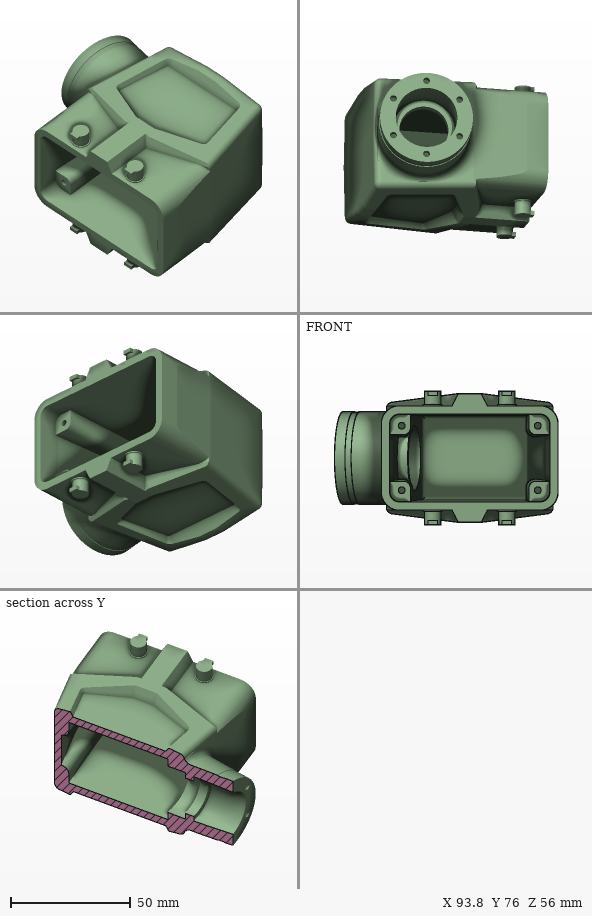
import cadquery as cq
import math


overall_length = 93.8
base_length = 74.1
base_depth = 43.7
base_corner_radius = 7.5
body_height = 72.7
straight_height = 9.2
shoulder_height = 31.8
shoulder_half_length = 34.8
side_tilt = 10.8
ridge_half_depth = 27.0
ridge_half_width = 4.9
roof_slope = 0.13
end_draft = 1.3
body_edge_radius = 2.8

panel_foot_half_width = 7.4
panel_foot_height = 20.8
panel_foot_slope = 0.36
panel_draft = 27.0
recess_floor_level = 22.1
recess_top = 63.4
recess_side = 38.5
recess_bottom = 31.15
recess_top_half_width = 19.7
recess_bottom_half_width = 4.7
recess_draft = 31.0
recess_corner_radius = 0.75

wall = 3.5
cavity_draft = 0.7
cavity_floor_radius = 1.2
post_start = 9.1
post_inner_x = 24.9
post_inner_z = 9.8
post_draft = 1.3
post_edge_radius = 2.8
screw_x = 28.5
screw_z = 13.5
screw_radius = 1.4
screw_depth = 9.4

entry_radius = 19.5
entry_face_x = base_length / 2 - overall_length + entry_radius * math.sin(math.radians(side_tilt))
entry_face_y = 56.8
entry_length = 30.5
flange_length = 4.5
groove_width = 2.6
groove_depth = 0.3
entry_blend_radius = 2.8
blend_half_depth = 21.1
counterbore_radius = 12.95
counterbore_depth = 18.3
throat_radius = 10.3
throat_end = 22.5
inner_bore_radius = 13.6
pad_radius = 15.5
pad_bottom_offset = 12.7
face_hole_count = 6
face_hole_circle = 16.0
face_hole_radius = 1.4
face_hole_depth = 2.8

pin_x = 15.6
pin_y = 5.5
pin_radius = 3.5
pin_span = 56.0
pin_tip = pin_span / 2
pin_collar_radius = 3.9
pin_collar_height = 0.5
tab_width = 4.0
tab_thickness = 1.8
tab_reach = 4.5

half_length = base_length / 2
half_depth = base_depth / 2
tilt_run = math.tan(math.radians(side_tilt))
tilt_cos = math.cos(math.radians(side_tilt))
clear = 93.8
overlap = 0.9


def mirrored(right_half):
    """Closed outline from its right half, listed from bottom to top."""
    return right_half + [(-x, y) for x, y in reversed(right_half)]


def prism_z(points):
    """XY outline extruded through the full depth, both ways from Z = 0."""
    return cq.Workplane("XY").polyline(points).close().extrude(clear, both=True)


def side_x(height):
    """Half length of the tilted upper body at a height above the mounting face."""
    return shoulder_half_length - (height - shoulder_height) * tilt_run


def both_faces(solid):
    """The solid together with its mirror image on the opposite broad face."""
    return solid.union(solid.mirror("XY"))


def along_y(start):
    """Plane at Y = start whose normal is +Y, local x along X."""
    return cq.Plane(origin=(0, start, 0), xDir=(1, 0, 0), normal=(0, 1, 0))


entry_inward = (tilt_cos, -math.sin(math.radians(side_tilt)), 0)


def entry_plane(depth=0.0):
    origin = (entry_face_x + depth * entry_inward[0], entry_face_y + depth * entry_inward[1], 0)
    return cq.Plane(origin=origin, xDir=(0, 0, 1), normal=entry_inward)


def entry_cylinder(radius, start, end):
    return cq.Workplane(entry_plane(start)).circle(radius).extrude(end - start)


def skirt_limits():
    """Straight band at the mounting face, then gently tapered ends carried to full height."""
    taper_run = (half_length - shoulder_half_length) / (shoulder_height - straight_height)
    outline = mirrored([
        (half_length, 0),
        (half_length, straight_height),
        (half_length - (body_height - straight_height) * taper_run, body_height),
    ])
    return prism_z(outline)


def lower_body():
    skirt = (
        cq.Workplane(along_y(0))
        .rect(base_length, base_depth)
        .extrude(shoulder_height)
        .edges("|Y")
        .fillet(base_corner_radius)
    )
    return skirt.intersect(skirt_limits())


def drafted_block(outline):
    """Block upright from Z = 0 to the skirt surface, then narrowing at the panel draft."""
    upright = cq.Workplane("XY").polyline(outline).close().extrude(half_depth)
    narrowing = (
        cq.Workplane("XY", origin=(0, 0, half_depth))
        .polyline(outline)
        .close()
        .extrude(ridge_half_depth - half_depth + overlap, taper=panel_draft)
    )
    return upright.union(narrowing)


def panel_limits():
    """Region kept by the upper body: V-shaped foot and ridge with drafted walls."""
    foot_rise = (clear - panel_foot_half_width) * panel_foot_slope
    panel = mirrored([
        (panel_foot_half_width, panel_foot_height),
        (clear, panel_foot_height + foot_rise),
        (clear, 2 * clear),
    ])
    ridge = mirrored([(panel_foot_half_width, -clear), (panel_foot_half_width, shoulder_height)])
    return both_faces(drafted_block(panel).union(drafted_block(ridge)))


def upper_body():
    roof_edge = ridge_half_depth - (clear - ridge_half_width) * roof_slope
    roof = (
        cq.Workplane(along_y(0))
        .polyline(mirrored([
            (ridge_half_width, -ridge_half_depth),
            (clear, -roof_edge),
            (clear, roof_edge),
            (ridge_half_width, ridge_half_depth),
        ]))
        .close()
        .extrude(body_height)
    )
    outline = mirrored([(side_x(0), 0), (side_x(body_height), body_height)])
    end_drop = clear * math.tan(math.radians(end_draft))
    drafted_end = (
        cq.Workplane("YZ")
        .polyline([
            (0, -clear),
            (body_height - end_drop, -clear),
            (body_height, 0),
            (body_height - end_drop, clear),
            (0, clear),
        ])
        .close()
        .extrude(clear, both=True)
    )
    body = roof.intersect(prism_z(outline)).intersect(drafted_end)
    upper_half = cq.selectors.BoxSelector((-clear, overlap, overlap), (clear, clear, clear))
    lower_half = cq.selectors.BoxSelector((-clear, overlap, -clear), (clear, clear, -overlap))
    body = body.edges(upper_half + lower_half).edges("not |Y").fillet(body_edge_radius)
    return body.intersect(panel_limits()).intersect(skirt_limits())


def panel_recess():
    side_half_width = recess_top_half_width + (recess_top - recess_side) * tilt_run
    outline = mirrored([
        (recess_bottom_half_width, recess_bottom),
        (side_half_width, recess_side),
        (recess_top_half_width, recess_top),
    ])
    floor = cq.Sketch().polygon(outline + outline[:1]).vertices("not <Y").fillet(recess_corner_radius)
    recess = (
        cq.Workplane("XY", origin=(0, 0, recess_floor_level))
        .placeSketch(floor)
        .extrude(ridge_half_depth - recess_floor_level + overlap, taper=-recess_draft)
    )
    return both_faces(recess)


def entry_outside():
    groove_end = flange_length + groove_width
    groove = entry_cylinder(entry_radius + overlap, flange_length, groove_end).cut(
        entry_cylinder(entry_radius - groove_depth, flange_length, groove_end)
    )
    return entry_cylinder(entry_radius, 0, entry_length).cut(groove)


def entry_blend():
    """Concave flare where the entry meets the side wall, trimmed to that wall's flat area."""
    wall_drift = (entry_face_y - shoulder_height) * tilt_run
    wall_depth = tilt_cos * (wall_drift - shoulder_half_length - entry_face_x)
    blend_start = wall_depth - entry_blend_radius
    foot_radius = entry_radius + entry_blend_radius
    arc_inset = entry_blend_radius * math.sqrt(0.5)
    flare = (
        cq.Workplane(entry_plane())
        .transformed(rotate=(90, 0, 0))
        .moveTo(0, blend_start)
        .lineTo(entry_radius, blend_start)
        .threePointArc((foot_radius - arc_inset, blend_start + arc_inset), (foot_radius, wall_depth))
        .lineTo(foot_radius, wall_depth + wall / 2)
        .lineTo(0, wall_depth + wall / 2)
        .close()
        .revolve(360, (0, 0, 0), (0, 1, 0))
    )
    trim_height = body_height - body_edge_radius / 2 - shoulder_height
    trim = cq.Workplane("XY", origin=(0, shoulder_height + trim_height / 2, 0)).box(
        2 * clear, trim_height, 2 * blend_half_depth
    )
    return flare.intersect(trim)


def entry_bore():
    bore = (
        entry_cylinder(counterbore_radius, 0, counterbore_depth)
        .union(entry_cylinder(throat_radius, counterbore_depth, throat_end))
        .union(entry_cylinder(inner_bore_radius, throat_end, entry_length))
    )
    holes = (
        cq.Workplane(entry_plane())
        .polarArray(face_hole_circle, 0, 360, face_hole_count)
        .circle(face_hole_radius)
        .extrude(face_hole_depth)
    )
    return bore.union(holes)


def entry_pad():
    """Thickened wall inside the cavity around the entry, round on its lower side."""
    pad = entry_cylinder(pad_radius, 0, entry_length)
    pad_top = (
        cq.Workplane(entry_plane())
        .center(0, pad_bottom_offset - clear / 2)
        .rect(base_depth, clear)
        .extrude(entry_length)
    )
    return pad.union(pad_top)


def posts():
    """Four screw posts with one rounded edge each, growing slightly toward the cavity floor."""
    post = (
        cq.Workplane(along_y(post_start))
        .moveTo(half_length, post_inner_z)
        .lineTo(half_length, half_depth)
        .lineTo(post_inner_x, half_depth)
        .lineTo(post_inner_x, post_inner_z + post_edge_radius)
        .radiusArc((post_inner_x + post_edge_radius, post_inner_z), -post_edge_radius)
        .close()
        .extrude(body_height - post_start, taper=-post_draft)
    )
    pair = both_faces(post)
    return pair.union(pair.mirror("YZ"))


def cavity():
    floor = body_height - wall
    skirt = (
        cq.Workplane(along_y(0))
        .rect(base_length - 2 * wall, base_depth - 2 * wall)
        .extrude(floor, taper=cavity_draft)
        .edges("not #Y")
        .fillet(base_corner_radius - wall)
    )
    outline = mirrored([
        (half_length - wall, 0),
        (half_length - wall, straight_height),
        (shoulder_half_length - wall, shoulder_height),
        (side_x(floor) - wall, floor),
    ])
    space = skirt.intersect(prism_z(outline)).cut(entry_pad())
    space = space.faces(">Y").edges().fillet(cavity_floor_radius)
    return space.cut(posts())


def screw_holes():
    return (
        cq.Workplane(along_y(post_start))
        .rect(2 * screw_x, 2 * screw_z, forConstruction=True)
        .vertices()
        .circle(screw_radius)
        .extrude(screw_depth)
    )


def locking_pins():
    """Two pins per broad face, each with a foot collar and a tab toward the open face."""
    centers = [(-pin_x, pin_y), (pin_x, pin_y)]
    foot = wall / 2
    foot_plane = cq.Workplane("XY", origin=(0, 0, half_depth - foot)).pushPoints(centers)
    pins = foot_plane.circle(pin_radius).extrude(pin_tip - half_depth + foot)
    collars = foot_plane.circle(pin_collar_radius).extrude(foot + pin_collar_height)
    tabs = (
        cq.Workplane("XY", origin=(0, -tab_reach / 2, pin_tip - tab_thickness))
        .pushPoints(centers)
        .rect(tab_width, tab_reach)
        .extrude(tab_thickness)
    )
    return both_faces(pins.union(collars).union(tabs))


result = lower_body().union(upper_body()).cut(panel_recess())
result = result.union(entry_outside()).union(entry_blend())
result = result.cut(cavity()).cut(entry_bore()).cut(screw_holes())
result = result.union(locking_pins())